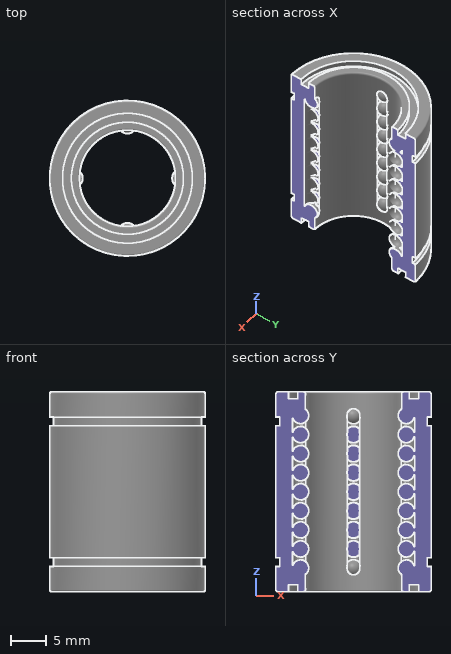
import cadquery as cq
import math

OUTER_DIAMETER = 22.225
LENGTH = 28.57
SHAFT_DIAMETER = 12.7
BORE_DIAMETER = 13.7

END_FILLET = 0.3
GROOVE_OFFSET = 3.65
GROOVE_WIDTH = 1.2
GROOVE_DIAMETER = 21.2

RECESS_OUTER_DIAMETER = 18.55
CAGE_DIAMETER = 16.0
RECESS_DEPTH = 1.0

ROW_COUNT = 4
BALLS_PER_ROW = 9
BALL_DIAMETER = 2.381
BALL_PITCH = 2.72
TRACK_INTERFERENCE = 0.04

ball_radius = BALL_DIAMETER / 2
track_radius = ball_radius - TRACK_INTERFERENCE
ball_center_radius = SHAFT_DIAMETER / 2 + ball_radius
row_span = (BALLS_PER_ROW - 1) * BALL_PITCH


def ring(outer_diameter, inner_diameter, z_bottom, height):
    """Flat ring around Z."""
    base = cq.Workplane("XY").workplane(offset=z_bottom)
    return base.circle(outer_diameter / 2).circle(inner_diameter / 2).extrude(height)


def make_sleeve():
    """Plain tube centred on the origin, rounded at its four end edges."""
    body = ring(OUTER_DIAMETER, BORE_DIAMETER, -LENGTH / 2, LENGTH)
    return body.edges("%CIRCLE").fillet(END_FILLET)


def cut_retaining_grooves(body):
    """Snap-ring groove near each end."""
    top_groove = ring(
        OUTER_DIAMETER,
        GROOVE_DIAMETER,
        LENGTH / 2 - GROOVE_OFFSET - GROOVE_WIDTH,
        GROOVE_WIDTH,
    )
    return body.cut(top_groove).cut(top_groove.mirror("XY"))


def cut_end_recesses(body):
    """Annular recess in each end face."""
    top_recess = ring(RECESS_OUTER_DIAMETER, CAGE_DIAMETER, LENGTH / 2 - RECESS_DEPTH, RECESS_DEPTH)
    return body.cut(top_recess).cut(top_recess.mirror("XY"))


def make_track():
    """Capsule-shaped track cutter: a cylinder along the ball centres with round ends, on the +X side."""
    half_span = row_span / 2
    arc_offset = track_radius * math.sqrt(0.5)
    capsule = (
        cq.Workplane("XZ")
        .moveTo(0, -half_span - track_radius)
        .threePointArc((arc_offset, -half_span - arc_offset), (track_radius, -half_span))
        .lineTo(track_radius, half_span)
        .threePointArc((arc_offset, half_span + arc_offset), (0, half_span + track_radius))
        .close()
        .revolve(360, (0, 0, 0), (0, 1, 0))
    )
    return capsule.translate((ball_center_radius, 0, 0))


def add_ball_rows(body):
    """Evenly spaced tracks, each holding one row of balls that touch the shaft."""
    for row in range(ROW_COUNT):
        angle = row * 360 / ROW_COUNT
        track = make_track().rotate((0, 0, 0), (0, 0, 1), angle)
        body = body.cut(track)
        ball_x = ball_center_radius * math.cos(math.radians(angle))
        ball_y = ball_center_radius * math.sin(math.radians(angle))
        for index in range(BALLS_PER_ROW):
            ball_z = index * BALL_PITCH - row_span / 2
            ball = cq.Workplane("XY").sphere(ball_radius).translate((ball_x, ball_y, ball_z))
            body = body.union(ball)
    return body


sleeve = make_sleeve()
sleeve = cut_retaining_grooves(sleeve)
sleeve = cut_end_recesses(sleeve)
result = add_ball_rows(sleeve)